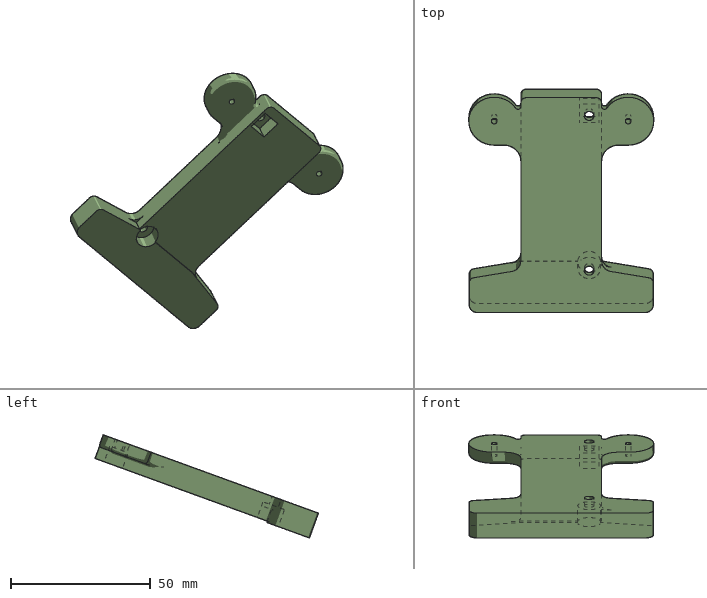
import math

import cadquery as cq

TILT = 20.0

STEM_WIDTH = 29.0
STEM_LENGTH = 82.0
STEM_THICKNESS = 9.0
STEM_CORNER_RADIUS = 2.0
STEM_SIDE = STEM_WIDTH / 2

BASE_WIDTH = 66.0
BASE_THICKNESS = 9.5
ARM_ROOT_Y = 16.3
ARM_SLOPE = math.radians(10.0)
BASE_FRONT_RADIUS = 3.0
ARM_TIP_RADIUS = 2.0
ARM_ROOT_RADIUS = 4.0
RIGHT_ARM_ROOT_DEPTH = 4.5

EAR_RADIUS = 9.155
EAR_X = 24.0
EAR_Y = 73.0
EAR_THICKNESS = 4.6
EAR_EDGE_RADIUS = 1.1
EAR_ROOT_RADIUS = 6.0
EAR_NOTCH_RADIUS = 1.0
EAR_UNDERSIDE_RADIUS = 0.98
EAR_HOLE_DIAMETER = 2.0

SCREW_X = 10.0
SCREW_FRONT_Y = 16.0
SCREW_BACK_Y = 75.0
SCREW_DIAMETER = 3.4
WEB_THICKNESS = 3.0
FRONT_COUNTERBORE_DIAMETER = 8.2
BACK_POCKET_SIZE = 7.0

SIDES = (-1, 1)


def make_stem():
    """Straight bar with rounded back corners."""
    bar = cq.Workplane("XY").box(
        STEM_WIDTH, STEM_LENGTH, STEM_THICKNESS, centered=(True, False, False)
    )
    bar = bar.translate((0, 0, -STEM_THICKNESS))
    return bar.edges("|Z and >Y").fillet(STEM_CORNER_RADIUS)


def make_base():
    """Front crossbar, slightly thicker than the stem."""
    half = BASE_WIDTH / 2
    tip_y = ARM_ROOT_Y - (half - STEM_SIDE) * math.tan(ARM_SLOPE)
    outline = [
        (-half, 0),
        (half, 0),
        (half, tip_y),
        (STEM_SIDE, ARM_ROOT_Y),
        (-STEM_SIDE, ARM_ROOT_Y),
        (-half, tip_y),
    ]
    base = cq.Workplane("XY").polyline(outline).close().extrude(-BASE_THICKNESS)
    base = base.edges("|Z and <Y").fillet(BASE_FRONT_RADIUS)
    return base.edges("|Z and (<X or >X)").edges(">Y").fillet(ARM_TIP_RADIUS)


def make_arm_root_fillet(side, depth):
    """Concave wedge between a stem side and the sloped back edge of an arm."""
    half_turn = (math.pi / 2 - ARM_SLOPE) / 2
    tangent = ARM_ROOT_RADIUS * math.tan(half_turn)
    centre_x = STEM_SIDE + ARM_ROOT_RADIUS
    centre_y = ARM_ROOT_Y + tangent
    mid_angle = math.pi + half_turn
    arc_middle = (
        side * (centre_x + ARM_ROOT_RADIUS * math.cos(mid_angle)),
        centre_y + ARM_ROOT_RADIUS * math.sin(mid_angle),
    )
    arm_end = (
        side * (STEM_SIDE + tangent * math.cos(ARM_SLOPE)),
        ARM_ROOT_Y - tangent * math.sin(ARM_SLOPE),
    )
    inner_x = side * (STEM_SIDE - ARM_ROOT_RADIUS)
    return (
        cq.Workplane("XY")
        .moveTo(inner_x, centre_y)
        .lineTo(side * STEM_SIDE, centre_y)
        .threePointArc(arc_middle, arm_end)
        .lineTo(inner_x, arm_end[1])
        .close()
        .extrude(-depth)
    )


def make_ear(side):
    """Round ear with a blended root, a small notch towards the back and a rounded lower edge."""
    inner_x = STEM_SIDE - EAR_ROOT_RADIUS
    flat_y = EAR_Y - EAR_RADIUS
    root_y = flat_y - EAR_ROOT_RADIUS
    root_x = STEM_SIDE + EAR_ROOT_RADIUS
    root_middle = (
        root_x - EAR_ROOT_RADIUS * math.sqrt(0.5),
        root_y + EAR_ROOT_RADIUS * math.sqrt(0.5),
    )

    notch_x = STEM_SIDE + EAR_NOTCH_RADIUS
    centre_gap = EAR_RADIUS + EAR_NOTCH_RADIUS
    notch_y = EAR_Y + math.sqrt(centre_gap**2 - (EAR_X - notch_x) ** 2)
    touch_angle = math.atan2(notch_y - EAR_Y, notch_x - EAR_X)
    touch = (
        EAR_X + EAR_RADIUS * math.cos(touch_angle),
        EAR_Y + EAR_RADIUS * math.sin(touch_angle),
    )
    notch_mid_angle = touch_angle / 2 - math.pi
    notch_middle = (
        notch_x + EAR_NOTCH_RADIUS * math.cos(notch_mid_angle),
        notch_y + EAR_NOTCH_RADIUS * math.sin(notch_mid_angle),
    )

    ear = (
        cq.Workplane("XY")
        .moveTo(inner_x, root_y)
        .lineTo(STEM_SIDE, root_y)
        .threePointArc(root_middle, (root_x, flat_y))
        .lineTo(EAR_X, flat_y)
        .threePointArc((EAR_X + EAR_RADIUS, EAR_Y), touch)
        .threePointArc(notch_middle, (STEM_SIDE, notch_y))
        .lineTo(inner_x, notch_y)
        .close()
        .extrude(-EAR_THICKNESS)
    )
    buried_rim = cq.selectors.BoxSelector(
        (0, 0, -STEM_THICKNESS),
        (STEM_SIDE, STEM_LENGTH, 0),
    )
    ear = ear.faces("<Z").edges(cq.selectors.InverseSelector(buried_rim))
    ear = ear.fillet(EAR_EDGE_RADIUS)
    return ear if side > 0 else ear.mirror("YZ")


def blend_ear_underside(body, side):
    """Concave fillet where the ear's underside meets the stem side."""
    reach = EAR_EDGE_RADIUS / 2
    side_x = side * STEM_SIDE
    corner = cq.selectors.BoxSelector(
        (side_x - reach, EAR_Y - EAR_RADIUS, -EAR_THICKNESS - reach),
        (side_x + reach, EAR_Y + EAR_RADIUS, -EAR_THICKNESS + reach),
    )
    return body.edges("|Y").edges(corner).fillet(EAR_UNDERSIDE_RADIUS)


def make_hole(x, y, diameter):
    """Cutter for a round hole through the full thickness."""
    return cq.Workplane("XY").center(x, y).circle(diameter / 2).extrude(-BASE_THICKNESS)


def make_front_counterbore():
    """Cutter for the round recess under the front screw hole."""
    return make_hole(SCREW_X, SCREW_FRONT_Y, FRONT_COUNTERBORE_DIAMETER).translate((0, 0, -WEB_THICKNESS))


def make_back_pocket():
    """Cutter for the square pocket under the back screw hole."""
    pocket = cq.Workplane("XY").center(SCREW_X, SCREW_BACK_Y).rect(BACK_POCKET_SIZE, BACK_POCKET_SIZE)
    return pocket.extrude(-BASE_THICKNESS).translate((0, 0, -WEB_THICKNESS))


body = make_stem().union(make_base())

body = body.union(make_arm_root_fillet(-1, STEM_THICKNESS))
body = body.union(make_arm_root_fillet(1, RIGHT_ARM_ROOT_DEPTH))

for side in SIDES:
    body = body.union(make_ear(side))
    body = blend_ear_underside(body, side)
    body = body.cut(make_hole(side * EAR_X, EAR_Y, EAR_HOLE_DIAMETER))

body = body.cut(make_front_counterbore())
body = body.cut(make_back_pocket())
for screw_y in (SCREW_FRONT_Y, SCREW_BACK_Y):
    body = body.cut(make_hole(SCREW_X, screw_y, SCREW_DIAMETER))

result = body.rotate((0, 0, 0), (1, 0, 0), TILT)